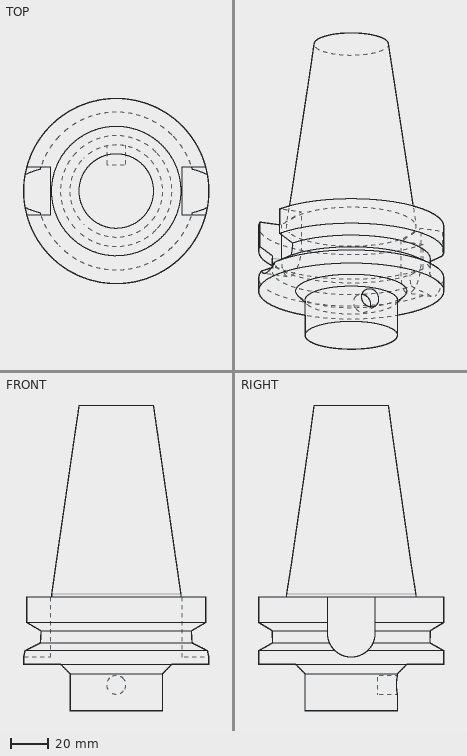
import cadquery as cq

total_height = 164.8
neck_top = 20.0
flange_bottom = 25.0
groove_lower_edge = 32.5
groove_floor_bottom = 36.6
groove_floor_top = 43.2
groove_upper_edge = 47.6
flange_top = 61.5
taper_base = 63.0

nose_diameter = 50.0
shoulder_diameter = 60.0
flange_diameter = 100.0
groove_diameter = 85.4
taper_large_diameter = 69.9
taper_small_diameter = 40.2

slot_width = 25.7
slot_floor_distance = 35.5
slot_bottom = 29.0

screw_diameter = 10.2
screw_height = 14.0
screw_depth = 10.9


def turned_body():
    """Nose, grooved flange and steep taper as one revolved profile."""
    nose_radius = nose_diameter / 2
    flange_radius = flange_diameter / 2
    groove_radius = groove_diameter / 2
    taper_large_radius = taper_large_diameter / 2
    profile = [
        (0, 0),
        (nose_radius, 0),
        (nose_radius, neck_top),
        (shoulder_diameter / 2, flange_bottom),
        (flange_radius, flange_bottom),
        (flange_radius, groove_lower_edge),
        (groove_radius, groove_floor_bottom),
        (groove_radius, groove_floor_top),
        (flange_radius, groove_upper_edge),
        (flange_radius, flange_top),
        (taper_large_radius, flange_top),
        (taper_large_radius, taper_base),
        (taper_small_diameter / 2, total_height),
        (0, total_height),
    ]
    return cq.Workplane("XZ").polyline(profile).close().revolve(360, (0, 0), (0, 1))


def drive_slot(side):
    """Round-bottomed slot cutter, open at the flange top and outer rim."""
    half_width = slot_width / 2
    arc_center_height = slot_bottom + half_width
    return (
        cq.Workplane("YZ", origin=(side * slot_floor_distance, 0, 0))
        .moveTo(-half_width, flange_top)
        .lineTo(-half_width, arc_center_height)
        .threePointArc((0, slot_bottom), (half_width, arc_center_height))
        .lineTo(half_width, flange_top)
        .close()
        .extrude(side * flange_diameter / 2)
    )


def screw_hole():
    """Blind cutter entering the nose from +Y."""
    return (
        cq.Workplane("XZ", origin=(0, nose_diameter / 2, screw_height))
        .circle(screw_diameter / 2)
        .extrude(screw_depth)
    )


result = turned_body().cut(screw_hole())
for slot_side in (-1, 1):
    result = result.cut(drive_slot(slot_side))